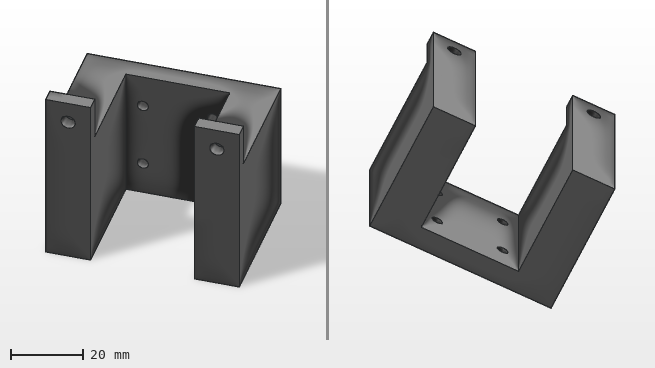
import cadquery as cq

width = 56.0
depth = 40.0
total_height = 53.0

body_height = depth
side_wall = 13.0
back_wall = 6.0

tab_thickness = 4.05
tab_hole_diameter = 4.1
tab_hole_drop = side_wall / 2

back_hole_diameter = 3.2
back_hole_spacing_x = 20.2
back_hole_spacing_z = 20.0


def block(size_x, size_y, size_z, x_center):
    """Box standing on Z = 0, centred on x_center, with its front face on Y = 0."""
    box = cq.Workplane("XY").box(size_x, size_y, size_z, centered=(True, False, False))
    return box.translate((x_center, 0, 0))


def drill_along_y(diameter, points):
    """Cylinders through the full depth at the given (x, z) points."""
    return cq.Workplane("XZ").pushPoints(points).circle(diameter / 2).extrude(-depth)


wall_center = (width - side_wall) / 2
channel_width = width - 2 * side_wall

body = block(width, depth, body_height, 0)
channel = block(channel_width, depth - back_wall, body_height, 0)
result = body.cut(channel)

for x in (-wall_center, wall_center):
    result = result.union(block(side_wall, tab_thickness, total_height, x))
tab_hole_z = total_height - tab_hole_drop
tab_hole_points = [(-wall_center, tab_hole_z), (wall_center, tab_hole_z)]
result = result.cut(drill_along_y(tab_hole_diameter, tab_hole_points))

offset_x = back_hole_spacing_x / 2
offset_z = back_hole_spacing_z / 2
back_hole_points = [
    (x, body_height / 2 + z)
    for x in (-offset_x, offset_x)
    for z in (-offset_z, offset_z)
]
result = result.cut(drill_along_y(back_hole_diameter, back_hole_points))